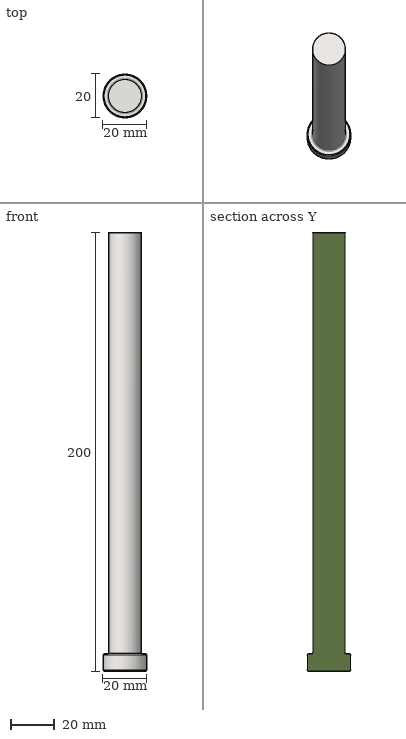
import cadquery as cq
import math

total_length = 200.0
head_radius = 10.0
head_height = 8.0
shank_diameter = 15.0
shank_radius = shank_diameter / 2

rim_size = 0.5
neck_fillet = 0.5

arc_middle = math.sqrt(0.5)

neck_x = shank_radius + neck_fillet
neck_z = head_height + neck_fillet
neck_mid = (neck_x - neck_fillet * arc_middle, neck_z - neck_fillet * arc_middle)

profile = (
    cq.Workplane("XZ")
    .lineTo(head_radius - rim_size, 0)
    .lineTo(head_radius, rim_size)
    .lineTo(head_radius, head_height - rim_size)
    .lineTo(head_radius - rim_size, head_height)
    .lineTo(neck_x, head_height)
    .threePointArc(neck_mid, (shank_radius, neck_z))
    .lineTo(shank_radius, total_length)
    .lineTo(0, total_length)
    .close()
)

result = profile.revolve(360, (0, 0, 0), (0, 1, 0))